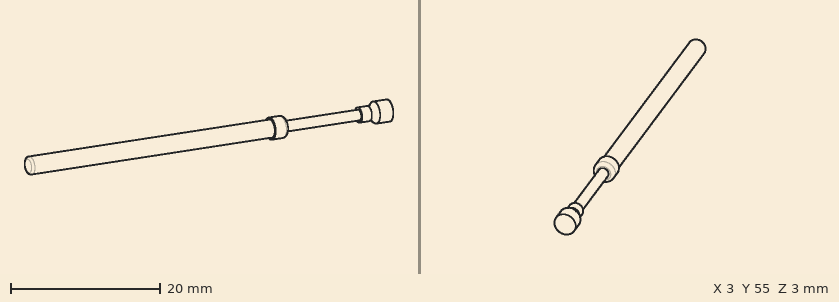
import cadquery as cq

total_length = 55.0

head_diameter = 3.0
collar_diameter = head_diameter
plunger_diameter = 1.5
neck_diameter = plunger_diameter
ring_diameter = 2.1
barrel_diameter = 2.5

head_length = 2.05
cone_length = 1.0
ring_length = 1.5
plunger_length = 11.4
collar_length = 2.1

collar_round = 0.5
tail_round = 0.35

head_end = total_length / 2
head_base = head_end - head_length
cone_base = head_base - cone_length
ring_base = cone_base - ring_length
collar_top = ring_base - plunger_length
collar_base = collar_top - collar_length
tail_end = -total_length / 2


def cylinder(diameter, y_start, y_end):
    """Solid cylinder on the Y axis between two positions."""
    start_plane = cq.Plane(origin=(0, y_start, 0), xDir=(1, 0, 0), normal=(0, 1, 0))
    return cq.Workplane(start_plane).circle(diameter / 2).extrude(y_end - y_start)


def contact_head():
    """Cylindrical head that tapers down to the neck."""
    outline = [
        (0, cone_base),
        (neck_diameter / 2, cone_base),
        (head_diameter / 2, head_base),
        (head_diameter / 2, head_end),
        (0, head_end),
    ]
    return cq.Workplane("XY").polyline(outline).close().revolve(360, (0, 0, 0), (0, 1, 0))


ring = cylinder(ring_diameter, ring_base, cone_base)
plunger = cylinder(plunger_diameter, collar_top, ring_base)
collar = cylinder(collar_diameter, collar_base, collar_top).edges(">Y").fillet(collar_round)
barrel = cylinder(barrel_diameter, tail_end, collar_base).edges("<Y").fillet(tail_round)

result = contact_head().union(ring).union(plunger).union(collar).union(barrel)